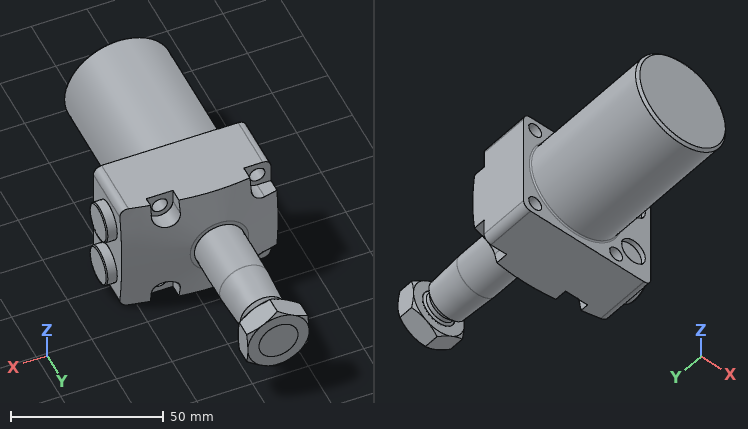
import cadquery as cq
import math


block_left = -22.5
block_length = 55.0
block_height = 45.0
block_thickness = 29.0
block_corner_radius = 3.0
block_right = block_left + block_length

cone_flat_radius = 10.5
cone_slope = math.radians(15)
cone_outer_radius = 45.0

bolt_offset = 17.5
bolt_hole_diameter = 5.5
seat_diameter = 9.5
seat_floor = 20.0
seat_radius = seat_diameter / 2
seat_depth = block_thickness - seat_floor

seal_x = 25.0
seal_offset = 11.0
seal_diameter = 10.2
seal_depth = 1.9

barrel_radius = 19.5
barrel_length = 54.0
barrel_chamfer = 1.0
barrel_root_fillet = 0.5

nut_across_flats = 22.0
nut_height = 8.0
nut_start = 69.0
nut_chamfer_angle = math.radians(30)
nut_end = nut_start + nut_height
nut_sides = 6
nut_face_radius = nut_across_flats / 2
nut_corner_radius = nut_face_radius / math.cos(math.pi / nut_sides)

rod_radius = 9.0
taper_start = 49.5
taper_end = 64.5
taper_end_radius = 8.25
neck_radius = 6.0
thread_radius = 7.0
neck_gap = 0.6
neck_start = taper_end + taper_end_radius - neck_radius
neck_end = nut_start - neck_gap
thread_start = neck_end + thread_radius - neck_radius

plug_diameter = 14.0
plug_length = 3.8
plug_chamfer = 0.4
plug_y = 12.5
plug_offset = 10.0


def plane_at(y):
    """Sketch plane facing +Y at height y: local x is -X, local y is Z."""
    return cq.Plane(origin=(0, y, 0), xDir=(-1, 0, 0), normal=(0, 1, 0))


def revolve_about_y(points):
    """Turn a closed (radius, y) outline about the Y axis."""
    return cq.Workplane("XY").polyline(points).close().revolve(360, (0, 0, 0), (0, 1, 0))


def box_between(x_range, y_range, z_range):
    """Box spanning the given (low, high) ranges."""
    spans = (x_range, y_range, z_range)
    sizes = [high - low for low, high in spans]
    corner = cq.Vector(*[low for low, high in spans])
    return cq.Workplane("XY").box(*sizes, centered=False).translate(corner)


def make_block():
    block = box_between(
        (block_left, block_right),
        (0, block_thickness),
        (-block_height / 2, block_height / 2),
    )
    block = block.edges("|Y").fillet(block_corner_radius)
    cone_drop = (cone_outer_radius - cone_flat_radius) * math.tan(cone_slope)
    cone = revolve_about_y([
        (0, 0),
        (cone_outer_radius, 0),
        (cone_outer_radius, block_thickness - cone_drop),
        (cone_flat_radius, block_thickness),
        (0, block_thickness),
    ])
    return block.intersect(cone)


def make_barrel():
    """Closed barrel with a concave fillet where it meets the block."""
    arc_reach = barrel_root_fillet * (1 - math.sqrt(0.5))
    outline = (
        cq.Workplane("XY")
        .moveTo(0, 0)
        .lineTo(barrel_radius + barrel_root_fillet, 0)
        .threePointArc(
            (barrel_radius + arc_reach, -arc_reach),
            (barrel_radius, -barrel_root_fillet),
        )
        .lineTo(barrel_radius, -barrel_length + barrel_chamfer)
        .lineTo(barrel_radius - barrel_chamfer, -barrel_length)
        .lineTo(0, -barrel_length)
        .close()
    )
    return outline.revolve(360, (0, 0, 0), (0, 1, 0))


def make_screw_seat(x_side, z_side):
    """Round seat open to the nearest Z side, and to the -X side for the left-hand pair."""
    x = x_side * bolt_offset
    seat = (
        cq.Workplane(plane_at(seat_floor))
        .center(-x, z_side * bolt_offset)
        .circle(seat_radius)
        .extrude(seat_depth)
    )
    y_range = (seat_floor, block_thickness)
    z_outer = sorted((z_side * bolt_offset, z_side * block_height / 2))
    opening_left = block_left if x_side < 0 else x - seat_radius
    seat = seat.union(box_between((opening_left, x + seat_radius), y_range, z_outer))
    if x_side < 0:
        z_full = sorted((z_side * (bolt_offset - seat_radius), z_side * block_height / 2))
        seat = seat.union(box_between((block_left, x), y_range, z_full))
    return seat


def make_housing():
    housing = make_block().union(make_barrel())
    for z_side in (-1, 1):
        for x_side in (-1, 1):
            bolt_hole = (
                cq.Workplane(plane_at(0))
                .center(-x_side * bolt_offset, z_side * bolt_offset)
                .circle(bolt_hole_diameter / 2)
                .extrude(block_thickness)
            )
            housing = housing.cut(bolt_hole).cut(make_screw_seat(x_side, z_side))
        seal_recess = (
            cq.Workplane(plane_at(0))
            .center(-seal_x, z_side * seal_offset)
            .circle(seal_diameter / 2)
            .extrude(seal_depth)
        )
        housing = housing.cut(seal_recess)
    return housing


def make_rod():
    """Rod with a tapered seat, a relief neck and a plain cylinder for the threaded end."""
    return revolve_about_y([
        (0, block_thickness),
        (rod_radius, block_thickness),
        (rod_radius, taper_start),
        (taper_end_radius, taper_end),
        (neck_radius, neck_start),
        (neck_radius, neck_end),
        (thread_radius, thread_start),
        (thread_radius, nut_end),
        (0, nut_end),
    ])


def make_nut():
    """Hexagon nut with corners along Z, chamfered at both ends."""
    corner_drop = (nut_corner_radius - nut_face_radius) * math.tan(nut_chamfer_angle)
    hexagon = (
        cq.Workplane(plane_at(nut_start))
        .transformed(rotate=(0, 0, 90))
        .polygon(nut_sides, 2 * nut_corner_radius)
        .extrude(nut_height)
    )
    chamfered_envelope = revolve_about_y([
        (thread_radius, nut_start),
        (nut_face_radius, nut_start),
        (nut_corner_radius, nut_start + corner_drop),
        (nut_corner_radius, nut_end - corner_drop),
        (nut_face_radius, nut_end),
        (thread_radius, nut_end),
    ])
    return hexagon.intersect(chamfered_envelope)


def make_port_plug(z):
    return (
        cq.Workplane("YZ", origin=(block_right, plug_y, z))
        .circle(plug_diameter / 2)
        .extrude(plug_length)
        .faces(">X")
        .edges()
        .chamfer(plug_chamfer)
    )


housing = make_housing()
rod = make_rod()
nut = make_nut()
port_plugs = [make_port_plug(side * plug_offset) for side in (-1, 1)]

result = cq.Compound.makeCompound([
    housing.val(),
    rod.val(),
    nut.val(),
    *[plug.val() for plug in port_plugs],
])